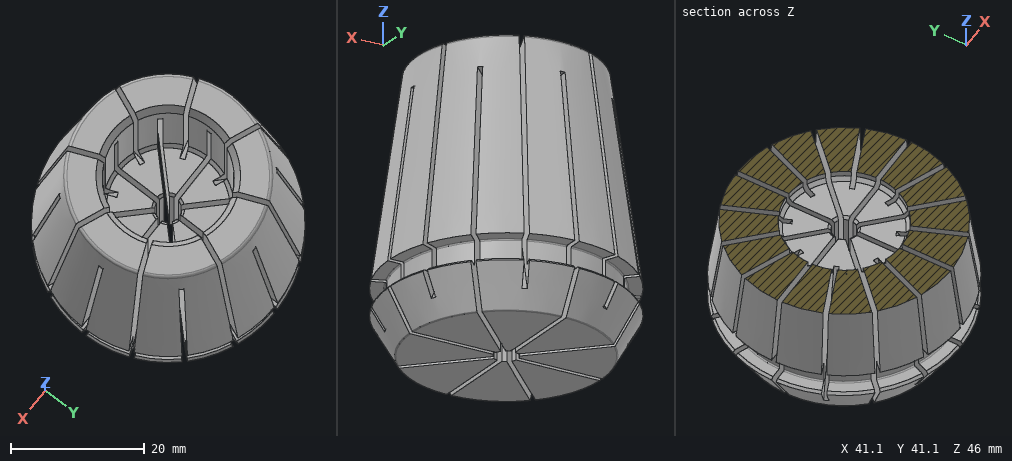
import cadquery as cq
import math

length = 46.0
max_radius = 20.55

taper_angle = math.radians(8.0)
nose_angle = math.radians(30.0)
taper_base_z = 11.1
groove_radius = 18.2
groove_base_z = 7.05
collar_chamfer = 0.4
back_edge_fillet = 0.5
groove_root_fillet = 0.2
nose_edge_fillet = 0.2

bore_radius = 2.0
bore_chamfer = 0.45
relief_radius = 9.9
relief_floor_z = 21.5
relief_floor_chamfer = 0.6
mouth_radius = 10.85
mouth_depth = 1.5

slot_width = 0.8
slots_per_end = 8
slot_pitch = 360.0 / slots_per_end
nose_slot_top_z = 40.5
back_slot_inner_radius = 7.9
back_slot_exit_radius = 18.4
back_slot_exit_z = 3.0
back_slot_ramp_angle = math.atan2(
    relief_floor_z - back_slot_exit_z,
    back_slot_exit_radius - back_slot_inner_radius,
)
slot_reach = max_radius + 1.0


def round_rings(solid, ring_radius, fillet_radius):
    """Fillet every circular edge whose radius is ring_radius."""
    rings = solid.edges("%CIRCLE").filter(lambda edge: math.isclose(edge.radius(), ring_radius, rel_tol=1e-6))
    return rings.fillet(fillet_radius)


def body():
    """Solid of revolution, with the bores included in its half section."""
    collar_z = groove_base_z - collar_chamfer
    nose_radius = max_radius - collar_z * math.tan(nose_angle)
    back_radius = max_radius - (length - taper_base_z) * math.tan(taper_angle)
    half_section = [
        (bore_radius, 0),
        (nose_radius, 0),
        (max_radius, collar_z),
        (max_radius - collar_chamfer, groove_base_z),
        (groove_radius, groove_base_z),
        (groove_radius, taper_base_z),
        (max_radius, taper_base_z),
        (back_radius, length),
        (mouth_radius, length),
        (relief_radius, length - mouth_depth),
        (relief_radius, relief_floor_z + relief_floor_chamfer),
        (relief_radius - relief_floor_chamfer, relief_floor_z),
        (bore_radius + bore_chamfer, relief_floor_z),
        (bore_radius, relief_floor_z - bore_chamfer),
    ]
    revolved = cq.Workplane("XZ").polyline(half_section).close().revolve(360, (0, 0), (0, 1))
    revolved = round_rings(revolved, back_radius, back_edge_fillet)
    revolved = round_rings(revolved, groove_radius, groove_root_fillet)
    return round_rings(revolved, nose_radius, nose_edge_fillet)


def radial_blade(profile, angle):
    """Thin blade of the given (radius, z) profile, standing on the axis and turned about Z."""
    blade = cq.Workplane("XZ").polyline(profile).close().extrude(slot_width / 2, both=True)
    return blade.rotate((0, 0, 0), (0, 0, 1), angle)


def nose_slot(angle):
    """Slot open at the nose that reaches the axis and stops short of the back."""
    profile = [
        (0, 0),
        (slot_reach, 0),
        (slot_reach, nose_slot_top_z),
        (0, nose_slot_top_z),
    ]
    return radial_blade(profile, angle)


def back_slot(angle):
    """Slot open at the back; its floor ramps down from the relief floor to the nose cone."""
    ramp_drop = (slot_reach - back_slot_inner_radius) * math.tan(back_slot_ramp_angle)
    profile = [
        (back_slot_inner_radius, relief_floor_z),
        (slot_reach, relief_floor_z - ramp_drop),
        (slot_reach, length),
        (back_slot_inner_radius, length),
    ]
    return radial_blade(profile, angle)


result = body()
for index in range(slots_per_end):
    nose_slot_angle = index * slot_pitch
    back_slot_angle = nose_slot_angle + slot_pitch / 2
    result = result.cut(nose_slot(nose_slot_angle)).cut(back_slot(back_slot_angle))